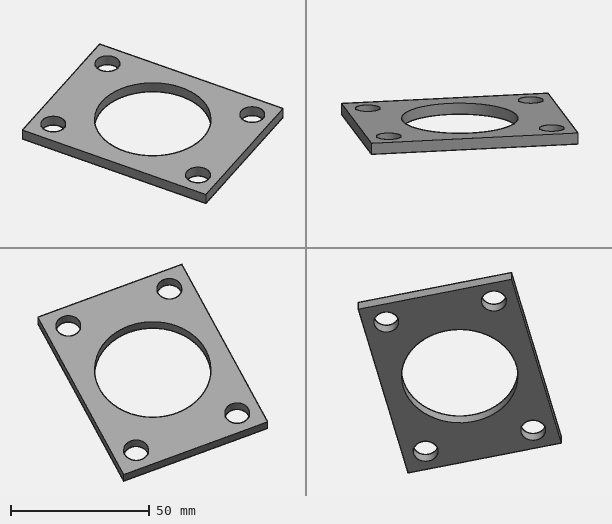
import cadquery as cq

length = 76.0
width = 57.0
thickness = 4.2

bore_diameter = 42.0

hole_diameter = 9.0
hole_spacing_x = 60.0
hole_spacing_y = 40.0

plate = cq.Workplane("XY").box(length, width, thickness)

bored_plate = plate.faces(">Z").workplane().hole(bore_diameter)

result = (
    bored_plate.faces(">Z")
    .workplane(origin=(0, 0, 0))
    .rarray(hole_spacing_x, hole_spacing_y, 2, 2)
    .hole(hole_diameter)
)